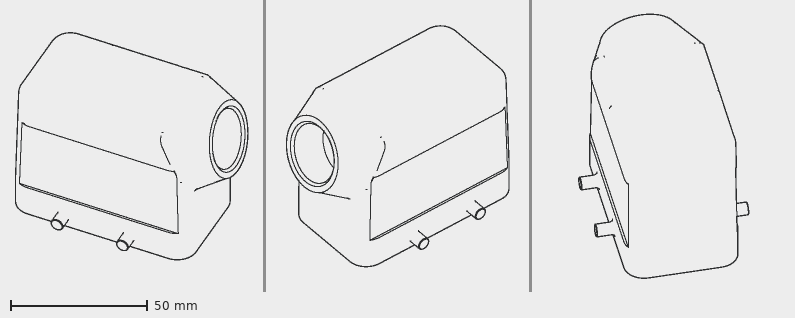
import cadquery as cq
import math

overall_length = 83.1
overall_height = 61.1
pin_span = 57.2

body_length = 72.65
body_width = 42.8
skirt_height = 12.9
body_height = 56.85
corner_radius = 7.65
end_draft_inset = 1.1
side_draft_inset = 0.6
top_edge_radius = 3.5

recess_top = 42.8
recess_bottom_width = 41.0
recess_top_width = 40.3

neck_tilt = 15.0
neck_diameter = 29.1
neck_root_top_x = 60.7
neck_root_bottom_x = 72.5
neck_root_bottom_z = 30.0
neck_crease_radius = 29.9
neck_crease_width = 34.1
neck_underside_radius = 2.5
neck_underside_top = 37.4
mouth_angles = (45.0, 61.0, 92.0, 146.0)

bore_diameter = 22.5
bore_depth = 15.0
bore_chamfer = 1.0

pin_positions_x = (23.0, 49.6)
pin_height = 6.15
pin_diameter = 4.8
pin_root_radius = 1.6
pin_tip_chamfer = 0.25

contact_tolerance = 0.001

mid_x = body_length / 2
tilt = math.radians(neck_tilt)
neck_radius = neck_diameter / 2
mouth_x = overall_length - neck_radius * math.sin(tilt)
mouth_z = overall_height - neck_radius * math.cos(tilt)
root_run = neck_root_bottom_x - neck_root_top_x
root_drop = body_height - neck_root_bottom_z
root_normal = cq.Vector(root_drop, 0, root_run).normalized()


def rounded_rectangle(length, width):
    return cq.Sketch().rect(length, width).vertices().fillet(corner_radius)


def make_body():
    """Skirt plus drafted housing with a rounded roof edge."""
    footprint = rounded_rectangle(body_length, body_width)
    roof = rounded_rectangle(body_length - 2 * end_draft_inset, body_width - 2 * side_draft_inset)
    housing_height = body_height - skirt_height
    skirt = cq.Workplane().center(mid_x, 0).placeSketch(footprint).extrude(skirt_height)
    housing = (
        cq.Workplane(origin=(mid_x, 0, skirt_height))
        .placeSketch(footprint, roof.moved(cq.Location(cq.Vector(0, 0, housing_height))))
        .loft()
        .faces(">Z")
        .edges()
        .fillet(top_edge_radius)
    )
    return skirt.union(housing)


def make_side_recess(side):
    """Cutter outside a sloping flat on one side: -1 is the -Y side, 1 the +Y side."""
    outside = side * body_width
    return (
        cq.Workplane("YZ")
        .polyline([
            (side * recess_bottom_width / 2, skirt_height),
            (outside, skirt_height),
            (outside, recess_top),
            (side * recess_top_width / 2, recess_top),
        ])
        .close()
        .extrude(body_length)
    )


def make_neck_clearance():
    """Wedge beyond the slanted root plane, where the neck replaces the body corner."""
    above = 2 * body_height
    slope = root_run / root_drop
    below_z = neck_root_bottom_z - root_drop
    return (
        cq.Workplane("XZ")
        .polyline([
            (neck_root_top_x - slope * (above - body_height), above),
            (neck_root_bottom_x + slope * root_drop, below_z),
            (overall_length + body_length, below_z),
            (overall_length + body_length, above),
        ])
        .close()
        .extrude(body_width, both=True)
    )


def mouth_workplane():
    normal = (math.cos(tilt), 0, math.sin(tilt))
    return cq.Workplane(cq.Plane(origin=(mouth_x, 0, mouth_z), xDir=(0, 1, 0), normal=normal))


def make_mouth_outline():
    """Circular rim, split into arcs that pair with the stretches of the root outline."""
    def rim_point(angle):
        return (
            neck_radius * math.sin(math.radians(angle)),
            neck_radius * math.cos(math.radians(angle)),
        )

    angles = [-mouth_angles[0], *mouth_angles]
    angles += [360 - angle for angle in reversed(mouth_angles)]
    outline = mouth_workplane().moveTo(*rim_point(angles[0]))
    for start, end in zip(angles, angles[1:]):
        outline = outline.threePointArc(rim_point((start + end) / 2), rim_point(end))
    return outline.close().val()


def make_neck(trimmed_body):
    """Ruled transition from the body's slanted root face to the circular mouth."""
    root_centre_x = (neck_root_top_x + neck_root_bottom_x) / 2
    root_centre_z = (body_height + neck_root_bottom_z) / 2
    root_centre = (root_centre_x, 0, root_centre_z)
    root_face = trimmed_body.faces(cq.selectors.NearestToPointSelector(root_centre)).val()
    return cq.Workplane(cq.Solid.makeLoft([root_face.outerWire(), make_mouth_outline()], True))


def make_bore():
    bore = mouth_workplane().circle(bore_diameter / 2).extrude(-bore_depth)
    mouth_cone = (
        mouth_workplane()
        .circle(bore_diameter / 2 + bore_chamfer)
        .workplane(offset=-bore_chamfer)
        .circle(bore_diameter / 2)
        .loft()
    )
    return bore.union(mouth_cone)


def make_pin(x, side):
    """Pin with a flared root and a chamfered tip, turned about its own axis."""
    radius = pin_diameter / 2
    root = body_width / 2
    tip = pin_span / 2
    flare = pin_root_radius
    diagonal = flare * (1 - math.sqrt(0.5))
    profile = (
        cq.Workplane("XY")
        .moveTo(0, root - flare)
        .lineTo(radius + flare, root - flare)
        .lineTo(radius + flare, root)
        .threePointArc((radius + diagonal, root + diagonal), (radius, root + flare))
        .lineTo(radius, tip - pin_tip_chamfer)
        .lineTo(radius - pin_tip_chamfer, tip)
        .lineTo(0, tip)
        .close()
    )
    pin = profile.revolve(360, (0, 0), (0, 1))
    if side < 0:
        pin = pin.mirror("XZ")
    return pin.translate((x, 0, pin_height))


def blend_root(piece, low, high, radius):
    """Round the neck root edges of a slice of the hood whose middles lie between two heights."""
    root_point = cq.Vector(neck_root_top_x, 0, body_height)
    edges = []
    for edge in piece.edges().vals():
        on_root = all(
            abs((edge.positionAt(place) - root_point).dot(root_normal)) < contact_tolerance
            for place in (0, 0.3, 1)
        )
        if on_root and low < edge.Center().z < high:
            edges.append(edge)
    return cq.Workplane(piece.solids().val().fillet(radius, edges))


def slice_hood(hood, width, bottom, top):
    """Part of the hood beyond its middle, within a width and between two heights."""
    cutter = (
        cq.Workplane(origin=(mid_x, 0, bottom))
        .box(overall_length, width, top - bottom, centered=(False, True, False))
    )
    return hood.intersect(cutter)


def make_crease_blend(hood):
    """Lens-shaped blend from roof to neck, rounded on a slice inside the ends of the crease."""
    piece = slice_hood(hood, neck_crease_width, neck_underside_top, overall_height)
    return blend_root(piece, body_height - top_edge_radius, overall_height, neck_crease_radius)


def make_underside_blend(hood):
    """Blend from end wall to neck underside, rounded on a slice of the hood's lower part."""
    piece = slice_hood(hood, body_width, skirt_height, neck_underside_top)
    highest_edge = neck_underside_top - contact_tolerance
    return blend_root(piece, skirt_height, highest_edge, neck_underside_radius)


trimmed_body = make_body().cut(make_neck_clearance())
sharp_neck = make_neck(trimmed_body)
sharp_hood = trimmed_body.union(sharp_neck)
hood = sharp_hood.union(make_crease_blend(sharp_hood)).union(make_underside_blend(sharp_hood))
for side in (-1, 1):
    hood = hood.cut(make_side_recess(side).cut(sharp_neck))

result = hood.cut(make_bore())
for x in pin_positions_x:
    for side in (-1, 1):
        result = result.union(make_pin(x, side))